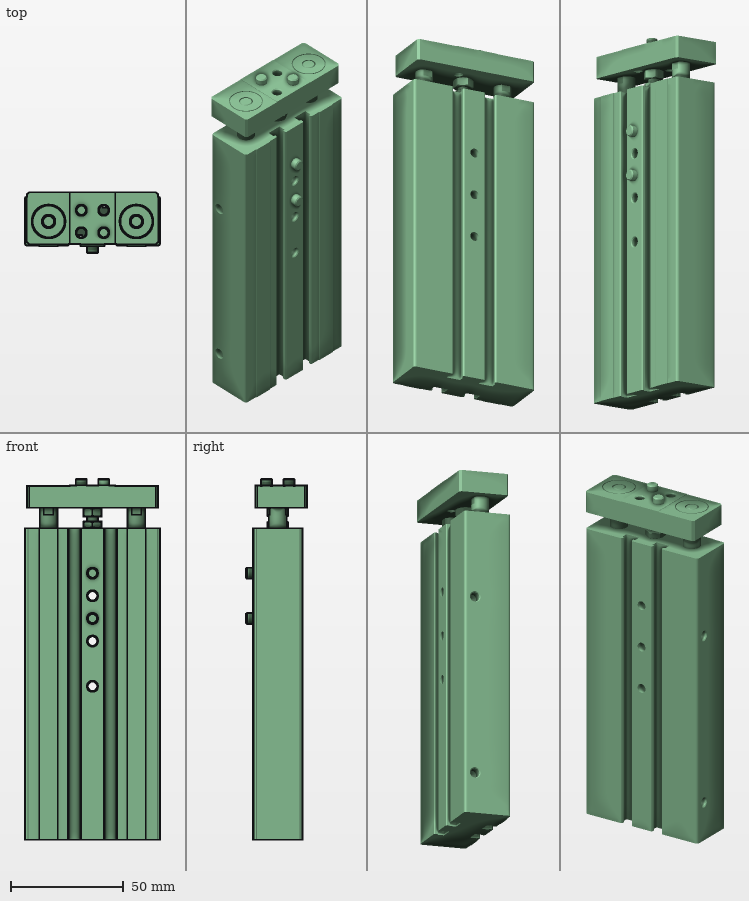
import cadquery as cq
import math


total_height = 160.0
housing_width = 60.0
housing_depth = 22.0
housing_height = 138.0
housing_corner_radius = 1.3
stroke_gap = 9.0
rod_spacing = 38.9
rod_positions = (-rod_spacing / 2, rod_spacing / 2)

strip_height = 0.3
strip_width = 8.3

slot_spacing = 16.0
slot_depth = 5.0
slot_mouth_width = 5.0
slot_inner_width = 6.7
slot_lip = 1.8
slot_mouth_chamfer = 0.5

thread_diameter = 5.0
drill_diameter = 4.2
thread_chamfer = (thread_diameter - drill_diameter) / 2
screw_projection = 3.0
screw_end_chamfer = 0.5
front_hole_top_z = 118.0
front_hole_span = 50.0
front_hole_pitch = front_hole_span / 5
front_screw_steps = (0, 2)
front_hole_steps = (1, 3, 5)

port_y = 6.0
port_heights = (18.4, 99.0)
port_depth = 4.8
drill_tip_angle = 118.0

plate_width = 58.0
plate_depth = 23.0
plate_offset_y = 1.5
plate_chamfer = 1.0
plate_top_z = total_height - screw_projection
plate_bottom_z = housing_height + stroke_gap
plate_thickness = plate_top_z - plate_bottom_z
plate_middle_width = 20.0
plate_step = 0.2
plate_hole_offset = 5.0
groove_outer_diameter = 15.0
groove_inner_diameter = 14.0
groove_depth = 0.5
screw_length = screw_projection + plate_thickness

hex_sides = 6
hex_across_flats = 8.0
hex_corner_circle = 7.5
hex_chamfer_angle = 30.0
nut_height = 4.0
stopper_diameter = 5.0
bolt_head_height = 3.0

rod_diameter = 8.0
rod_end_diameter = 6.0
rod_end_chamfer = 0.6
rod_flat_spacing = 6.9
rod_flat_height = 3.0


def threaded_hole(length):
    """Cutter along +Z from Z = 0: a drilled hole with a chamfered mouth."""
    mouth = cq.Workplane("XY").circle(thread_diameter / 2).workplane(offset=thread_chamfer)
    mouth = mouth.circle(drill_diameter / 2).loft()
    return mouth.union(cq.Workplane("XY").circle(drill_diameter / 2).extrude(length))


def port():
    """Cutter along +Z from Z = 0: a blind threaded hole with a conical drill tip."""
    tip_height = drill_diameter / 2 / math.tan(math.radians(drill_tip_angle / 2))
    tip = cq.Solid.makeCone(drill_diameter / 2, 0, tip_height, cq.Vector(0, 0, port_depth))
    return threaded_hole(port_depth).union(cq.Workplane(tip))


def screw():
    """Screw along +Z whose chamfered end is its top, with the mounting face at Z = 0."""
    shank = cq.Workplane("XY").workplane(offset=-plate_thickness).circle(thread_diameter / 2)
    return shank.extrude(screw_length).faces(">Z").chamfer(screw_end_chamfer)


def facing_front(shape, z):
    """Turn a shape's +Z toward -Y and seat its origin on the middle rib at height z."""
    return shape.rotate((0, 0, 0), (1, 0, 0), 90).translate((0, -housing_depth / 2, z))


def facing_in(shape, z):
    """Turn a cutter's +Z toward +Y, entering the housing from the middle rib at height z."""
    return shape.rotate((0, 0, 0), (1, 0, 0), -90).translate((0, -housing_depth / 2, z))


def front_z(step):
    return front_hole_top_z - step * front_hole_pitch


def t_slot(outer_drop):
    """Cutter for the +X front T-slot; its outer edge lies outer_drop behind its rib edge."""
    face = -housing_depth / 2
    mouth = slot_mouth_width / 2
    inner = slot_inner_width / 2
    edge = mouth + slot_mouth_chamfer
    outline = [
        (-edge, face),
        (-mouth, face + slot_mouth_chamfer),
        (-mouth, face + slot_lip),
        (-inner, face + slot_lip),
        (-inner, face + slot_depth),
        (inner, face + slot_depth),
        (inner, face + slot_lip),
        (mouth, face + slot_lip),
        (mouth, face + slot_mouth_chamfer + outer_drop),
        (edge, face + outer_drop),
        (mouth, face),
    ]
    slot = cq.Workplane("XY").polyline(outline).close().extrude(housing_height)
    return slot.translate((slot_spacing / 2, 0, 0))


def lowered_front(side):
    """Cutter that lowers the front face beside one slot, leaving the strip over the rod."""
    inner_edge = slot_spacing / 2
    outer_edge = housing_width / 2
    cut = cq.Workplane("XY").box(
        outer_edge - inner_edge, strip_height, housing_height, centered=(False, False, False)
    ).translate((inner_edge, -housing_depth / 2, 0))
    strip = cq.Workplane("XY").box(
        strip_width, housing_depth, housing_height, centered=(True, True, False)
    ).translate((rod_spacing / 2, 0, 0))
    cut = cut.cut(strip)
    return cut if side > 0 else cut.mirror("YZ")


def make_housing():
    body = cq.Workplane("XY").box(
        housing_width, housing_depth, housing_height, centered=(True, True, False)
    )
    for side in (-1, 1):
        body = body.cut(lowered_front(side))
    corners = body.edges("|Z").edges("<X or >X")
    body = corners.fillet(housing_corner_radius)
    front_slot = t_slot(strip_height)
    back_slot = t_slot(0).mirror("XZ")
    for slot in (front_slot, back_slot):
        body = body.cut(slot).cut(slot.mirror("YZ"))
    for step in front_hole_steps:
        body = body.cut(facing_in(threaded_hole(housing_depth), front_z(step)))
    for step in front_screw_steps:
        body = body.cut(facing_front(screw(), front_z(step)))
    for z in port_heights:
        side_port = port().rotate((0, 0, 0), (0, 1, 0), 90)
        body = body.cut(side_port.translate((-housing_width / 2, port_y, z)))
    return body


def chamfered_hex(height):
    """Hexagon with corners on +Y and -Y and both ends chamfered at the corners."""
    corner_radius = hex_across_flats / 2 / math.cos(math.pi / hex_sides)
    end_radius = hex_corner_circle / 2
    slope = math.tan(math.radians(hex_chamfer_angle))
    chamfer_height = (corner_radius - end_radius) * slope
    prism = cq.Workplane("XY").polygon(hex_sides, 2 * corner_radius).extrude(height)
    prism = prism.rotate((0, 0, 0), (0, 0, 1), 90)
    envelope = cq.Workplane("XY").circle(corner_radius).extrude(height)
    envelope = envelope.edges().chamfer(chamfer_height, corner_radius - end_radius)
    return prism.intersect(envelope)


def make_stopper():
    """Stopper with a bolt head and a nut, from the top of the housing to the underside of the plate."""
    neck = cq.Workplane("XY").circle(stopper_diameter / 2).extrude(stroke_gap)
    nut = chamfered_hex(nut_height).translate((0, 0, stroke_gap - nut_height))
    return chamfered_hex(bolt_head_height).union(neck).union(nut).translate((0, 0, housing_height))


def make_rod(x):
    """Guide rod from the housing to the top of the plate, stepped down inside the plate."""
    end_length = plate_top_z - plate_step - plate_bottom_z
    shaft = cq.Workplane("XY").circle(rod_diameter / 2).extrude(stroke_gap)
    flats = cq.Workplane("XY").workplane(offset=stroke_gap - rod_flat_height)
    flats = flats.rect(rod_diameter, rod_diameter).rect(rod_diameter, rod_flat_spacing)
    shaft = shaft.cut(flats.extrude(rod_flat_height))
    end = cq.Workplane("XY").workplane(offset=stroke_gap).circle(rod_end_diameter / 2)
    end = end.extrude(end_length).faces(">Z").chamfer(rod_end_chamfer)
    return shaft.union(end).translate((x, 0, housing_height))


def make_plate():
    """End plate with lower ends, ring grooves and screw holes, in one piece with the stopper under it."""
    plate = cq.Workplane("XY").box(
        plate_width, plate_depth, plate_thickness, centered=(True, True, False)
    )
    plate = plate.edges("|Z").chamfer(plate_chamfer).translate((0, plate_offset_y, plate_bottom_z))
    end_top = plate_top_z - plate_step
    end_width = (plate_width - plate_middle_width) / 2
    for x in rod_positions:
        end_x = math.copysign((plate_middle_width + end_width) / 2, x)
        step = cq.Workplane("XY").box(end_width, plate_depth, plate_step, centered=(True, True, False))
        plate = plate.cut(step.translate((end_x, plate_offset_y, end_top)))
        groove = cq.Workplane("XY").circle(groove_outer_diameter / 2).circle(groove_inner_diameter / 2)
        plate = plate.cut(groove.extrude(groove_depth).translate((x, 0, end_top - groove_depth)))
        rod_hole = cq.Workplane("XY").circle(rod_end_diameter / 2).extrude(plate_thickness)
        plate = plate.cut(rod_hole.translate((x, 0, plate_bottom_z)))
    for side in (-1, 1):
        hole = threaded_hole(plate_thickness).rotate((0, 0, 0), (1, 0, 0), 180)
        offset = side * plate_hole_offset
        plate = plate.cut(hole.translate((offset, offset, plate_top_z)))
        plate = plate.cut(screw().translate((offset, -offset, plate_top_z)))
    return plate.union(make_stopper())


housing = make_housing()
plate = make_plate()
rods = [make_rod(x) for x in rod_positions]
front_screws = [facing_front(screw(), front_z(step)) for step in front_screw_steps]
plate_screws = [
    screw().translate((side * plate_hole_offset, -side * plate_hole_offset, plate_top_z)) for side in (-1, 1)
]
bodies = [housing, plate, *rods, *front_screws, *plate_screws]
result = cq.Compound.makeCompound([body.val() for body in bodies])